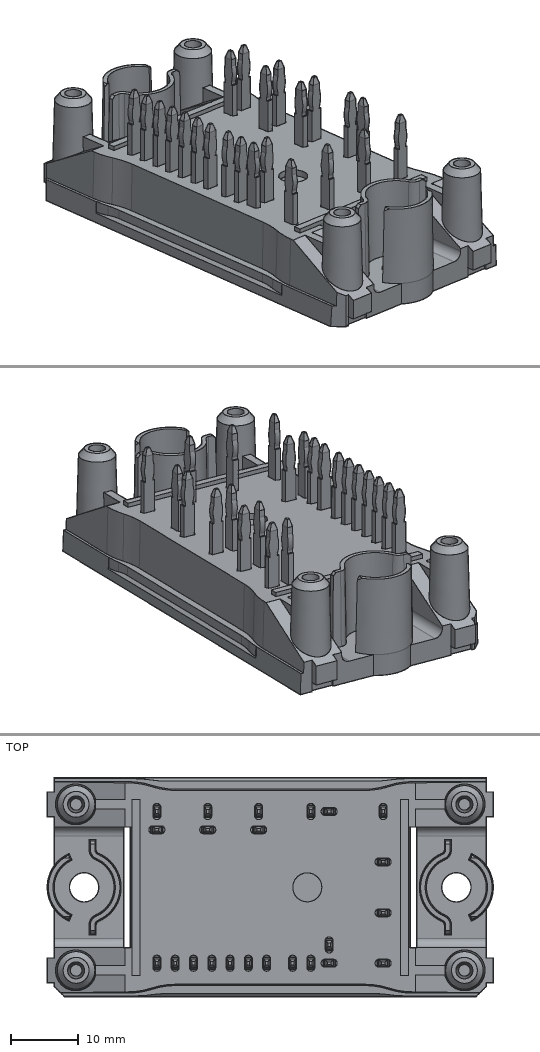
import cadquery as cq
import math

PAD_HEIGHT = 0.2
FLOOR_Z = 3.55
BODY_TOP = 11.1
RIDGE_TOP = 11.75
TOWER_SHOULDER_Z = 16.0
TOWER_TOP = 17.0
GUARD_TOP = 15.65
PIN_TOP = 21.25

LENGTH = 66.0
HALF_LENGTH = LENGTH / 2
BASE_HALF_LENGTH = 31.95
BASE_HALF_WIDTH = 16.25
BASE_TOP_HALF_WIDTH = 16.1
CORNER_CHAMFER = 1.6
PAD_LENGTH = 38.0
PAD_WIDTH = 27.05

RECESS_HALF_WIDTH = 15.7
RECESS_END_HALF_WIDTH = 16.05
RECESS_OUTER_X = 19.8
RECESS_INNER_X = 15.3
RECESS_EDGE_Z = 1.65
RECESS_FLOOR_Z = 2.2

WING_HALF_WIDTH = 15.65
WAIST_HALF_WIDTH = 14.5
WAIST_OUTER_X = 21.0
WAIST_INNER_X = 14.0
HOUSING_DRAFT = 1.5
SLOPE_TOP_X = 21.5
SLOPE_END_Z = 5.3

BAY_HALF_WIDTH = 8.9
BAY_FILLET = 1.3
SLOT_INNER_X = 20.7
SLOT_OUTER_X = 21.65
MOUNT_X = 27.5
MOUNT_HOLE_DIAMETER = 4.3

GUARD_OUTER_RADIUS = HALF_LENGTH - MOUNT_X
GUARD_WALL = 1.05
GUARD_INNER_RADIUS = GUARD_OUTER_RADIUS - GUARD_WALL
GUARD_MID_RADIUS = GUARD_OUTER_RADIUS - GUARD_WALL / 2
GUARD_HEIGHT = GUARD_TOP - FLOOR_Z
GUARD_DRAFT = 0.9
GUARD_END_ANGLE = 114
GUARD_BEND_ANGLE = 67
GUARD_TAIL_X = 1.25
GUARD_TAIL_Y = 7.05
GUARD_CORNER = 0.65

TOWER_X = 28.7
TOWER_Y = 12.3
TOWER_BOTTOM_RADIUS = 3.1
TOWER_RADIUS = 2.8
TOWER_TIP_RADIUS = 1.9
TOWER_HOLE_RADIUS = 1.25
TOWER_HOLE_END_RADIUS = 0.85
TOWER_HOLE_DEPTH = 7.9
RIB_WIDTH = 1.4
TAB_WIDTH = 3.7
TAB_BOTTOM_Z = 1.65
TAB_RELIEF_DEPTH = 0.3

RIDGE_INNER_X = 19.3
RIDGE_OUTER_X = 20.45
RIDGE_LENGTH = 26.0
DIMPLE_X = 5.5
DIMPLE_DIAMETER = 4.3
DIMPLE_DEPTH = 1.0

PIN_HALF_WIDTH = 0.9
PIN_NECK_HALF_WIDTH = 0.65
PIN_BULGE_HALF_WIDTH = 0.85
PIN_TIP_HALF_WIDTH = 0.25
PIN_HALF_THICKNESS = 0.45
PIN_TIP_HALF_THICKNESS = 0.2
PIN_SHOULDER_Z = 16.0
PIN_BULGE_START_Z = 16.45
PIN_BULGE_END_Z = 19.1
PIN_TIP_START_Z = 20.1
PIN_ROOT = 0.65
PIN_POCKET_LENGTH = 2.4
PIN_POCKET_WIDTH = 1.2
PIN_POCKET_DEPTH = 0.3

PIN_PITCH = 2.7
PIN_WIDE_PITCH = 7.5
PIN_FIRST_X = -16.75
PIN_LAST_X = 16.7
PIN_ROW_Y = 11.2
PIN_INNER_Y = 8.5
PIN_SIDE_Y = 3.75
PIN_GROUP_X = 3.3
WIDE_COLUMN_COUNT = 3
GROUP_COLUMN_COUNT = 3
CLOSE_COLUMN_COUNT = 7

SIDES = (-1, 1)
ALL_CORNERS = [(sx, sy) for sx in SIDES for sy in SIDES]


def block(x_start, x_end, y_start, y_end, z_start, z_end):
    size = (x_end - x_start, y_end - y_start, z_end - z_start)
    return cq.Workplane("XY").box(*size, centered=False).translate((x_start, y_start, z_start))


def both_ends(feature):
    """A feature at the +X end together with its mirror image at the -X end."""
    return feature.union(feature.mirror("YZ"))


def waisted_outline(end_x, outer_x, inner_x, wing_y, waist_y):
    """Closed outline whose long sides step inwards through S-curves of two equal arcs."""
    mid_x = (outer_x + inner_x) / 2
    mid_y = (wing_y + waist_y) / 2
    outline = cq.Workplane("XY").moveTo(-end_x, wing_y).lineTo(-outer_x, wing_y)
    outline = outline.tangentArcPoint((-mid_x, mid_y), relative=False)
    outline = outline.tangentArcPoint((-inner_x, waist_y), relative=False)
    outline = outline.lineTo(inner_x, waist_y)
    outline = outline.tangentArcPoint((mid_x, mid_y), relative=False)
    outline = outline.tangentArcPoint((outer_x, wing_y), relative=False)
    outline = outline.lineTo(end_x, wing_y).lineTo(end_x, -wing_y).lineTo(outer_x, -wing_y)
    outline = outline.tangentArcPoint((mid_x, -mid_y), relative=False)
    outline = outline.tangentArcPoint((inner_x, -waist_y), relative=False)
    outline = outline.lineTo(-inner_x, -waist_y)
    outline = outline.tangentArcPoint((-mid_x, -mid_y), relative=False)
    outline = outline.tangentArcPoint((-outer_x, -wing_y), relative=False)
    return outline.lineTo(-end_x, -wing_y).close()


def slope_z(x):
    """Height of the sloping wing surface at a distance x from the middle."""
    fall = (BODY_TOP - SLOPE_END_Z) / (BASE_HALF_LENGTH - SLOPE_TOP_X)
    return BODY_TOP - fall * (x - SLOPE_TOP_X)


def slope_prism(end_x):
    """Prism across the part, flat on top and falling away along both wing slopes."""
    profile = [
        (-end_x, 0),
        (end_x, 0),
        (end_x, slope_z(end_x)),
        (SLOPE_TOP_X, BODY_TOP),
        (-SLOPE_TOP_X, BODY_TOP),
        (-end_x, slope_z(end_x)),
    ]
    return cq.Workplane("XZ").polyline(profile).close().extrude(BASE_HALF_WIDTH, both=True)


def base_frame():
    section = [
        (-BASE_HALF_WIDTH, PAD_HEIGHT),
        (BASE_HALF_WIDTH, PAD_HEIGHT),
        (BASE_TOP_HALF_WIDTH, FLOOR_Z),
        (-BASE_TOP_HALF_WIDTH, FLOOR_Z),
    ]
    frame = cq.Workplane("YZ").polyline(section).close().extrude(BASE_HALF_LENGTH, both=True)
    return frame.cut(side_recesses())


def side_recesses():
    """Long-side recesses with S-curved ends and a floor that falls outwards."""
    slope = (RECESS_FLOOR_Z - RECESS_EDGE_Z) / (BASE_HALF_WIDTH - RECESS_HALF_WIDTH)
    section = [
        (WAIST_HALF_WIDTH, RECESS_FLOOR_Z + slope * (RECESS_HALF_WIDTH - WAIST_HALF_WIDTH)),
        (BASE_HALF_WIDTH, RECESS_EDGE_Z),
        (BASE_HALF_WIDTH, FLOOR_Z),
        (WAIST_HALF_WIDTH, FLOOR_Z),
    ]
    band = cq.Workplane("YZ").polyline(section).close().extrude(RECESS_OUTER_X, both=True)
    band = band.union(band.mirror("XZ"))
    kept = waisted_outline(
        LENGTH, RECESS_OUTER_X, RECESS_INNER_X, RECESS_END_HALF_WIDTH, RECESS_HALF_WIDTH
    ).extrude(BODY_TOP)
    return band.cut(kept)


def housing():
    body = waisted_outline(LENGTH, WAIST_OUTER_X, WAIST_INNER_X, WING_HALF_WIDTH, WAIST_HALF_WIDTH)
    body = body.extrude(BODY_TOP - FLOOR_Z, taper=HOUSING_DRAFT).translate((0, 0, FLOOR_Z))
    return body.intersect(slope_prism(BASE_HALF_LENGTH))


def lengthwise_bars(half_length, width, bottom_z, top_z):
    """Two bars along X, one through each row of tower centres."""
    half = width / 2
    bars = cq.Workplane("XY")
    for side in SIDES:
        y = side * TOWER_Y
        bars = bars.add(block(-half_length, half_length, y - half, y + half, bottom_z, top_z))
    return bars.combine()


def end_tabs():
    bars = lengthwise_bars(HALF_LENGTH, TAB_WIDTH, TAB_BOTTOM_Z, BODY_TOP)
    return bars.intersect(slope_prism(HALF_LENGTH))


def tab_relief_cut():
    """Shallow reliefs in the end faces below the tabs."""
    kept_x = BASE_HALF_LENGTH - TAB_RELIEF_DEPTH
    core = block(-kept_x, kept_x, -BASE_HALF_WIDTH, BASE_HALF_WIDTH, 0, BODY_TOP)
    return lengthwise_bars(HALF_LENGTH, TAB_WIDTH, 0, TAB_BOTTOM_Z).cut(core)


def bay_cut():
    """Open bay with filleted side walls, plus the through slot with a drafted inner wall."""
    bay = block(SLOT_OUTER_X, LENGTH, -BAY_HALF_WIDTH, BAY_HALF_WIDTH, FLOOR_Z, PIN_TOP)
    bay = bay.edges("|X and <Z").fillet(BAY_FILLET)
    section = [
        (SLOT_INNER_X, 0),
        (SLOT_OUTER_X, 0),
        (SLOT_OUTER_X, BODY_TOP),
        (RIDGE_OUTER_X, BODY_TOP),
    ]
    slot = cq.Workplane("XZ").polyline(section).close().extrude(BAY_HALF_WIDTH, both=True)
    return both_ends(bay.union(slot))


def corner_chamfer_cut():
    """Material removed from the two corners on the -Y side."""
    corner = [
        (BASE_HALF_LENGTH, -BASE_HALF_WIDTH),
        (BASE_HALF_LENGTH - CORNER_CHAMFER, -BASE_HALF_WIDTH),
        (BASE_HALF_LENGTH, -BASE_HALF_WIDTH + CORNER_CHAMFER),
    ]
    return both_ends(cq.Workplane("XY").polyline(corner).close().extrude(BODY_TOP))


def mount_boss():
    boss = cq.Workplane("XY").center(MOUNT_X, 0).circle(GUARD_OUTER_RADIUS)
    return both_ends(boss.extrude(FLOOR_Z - PAD_HEIGHT).translate((0, 0, PAD_HEIGHT)))


def polar(radius, angle):
    return (radius * math.cos(math.radians(angle)), radius * math.sin(math.radians(angle)))


def outer_guard():
    """Plain arc of wall on the outer side of the -X mounting hole."""
    outer_x, outer_y = polar(GUARD_OUTER_RADIUS, GUARD_END_ANGLE)
    inner_x, inner_y = polar(GUARD_INNER_RADIUS, GUARD_END_ANGLE)
    wall = cq.Workplane("XY").moveTo(outer_x, outer_y)
    wall = wall.threePointArc((-GUARD_OUTER_RADIUS, 0), (outer_x, -outer_y))
    wall = wall.lineTo(inner_x, -inner_y)
    wall = wall.threePointArc((-GUARD_INNER_RADIUS, 0), (inner_x, inner_y)).close()
    wall = wall.extrude(GUARD_HEIGHT, taper=GUARD_DRAFT)
    return wall.intersect(guard_envelope(outer_y))


def inner_guard():
    """Wall on the inner side of the -X mounting hole, bending out into two straight tails."""
    cos_bend, sin_bend = polar(1, GUARD_BEND_ANGLE)
    bend_radius = (GUARD_MID_RADIUS * cos_bend - GUARD_TAIL_X) / (1 - cos_bend)
    bend_y = (GUARD_MID_RADIUS + bend_radius) * sin_bend
    near_x = GUARD_TAIL_X - GUARD_WALL / 2
    far_x = GUARD_TAIL_X + GUARD_WALL / 2
    inner_x, inner_y = polar(GUARD_INNER_RADIUS, GUARD_BEND_ANGLE)
    outer_x, outer_y = polar(GUARD_OUTER_RADIUS, GUARD_BEND_ANGLE)
    wall = cq.Workplane("XY").moveTo(near_x, GUARD_TAIL_Y).lineTo(near_x, bend_y)
    wall = wall.tangentArcPoint((inner_x, inner_y), relative=False)
    wall = wall.threePointArc((GUARD_INNER_RADIUS, 0), (inner_x, -inner_y))
    wall = wall.tangentArcPoint((near_x, -bend_y), relative=False)
    wall = wall.lineTo(near_x, -GUARD_TAIL_Y).lineTo(far_x, -GUARD_TAIL_Y).lineTo(far_x, -bend_y)
    wall = wall.tangentArcPoint((outer_x, -outer_y), relative=False)
    wall = wall.threePointArc((GUARD_OUTER_RADIUS, 0), (outer_x, outer_y))
    wall = wall.tangentArcPoint((far_x, bend_y), relative=False)
    wall = wall.lineTo(far_x, GUARD_TAIL_Y).close()
    wall = wall.extrude(GUARD_HEIGHT, taper=GUARD_DRAFT)
    return wall.intersect(guard_envelope(GUARD_TAIL_Y))


def guard_envelope(half_width):
    """Block of the given half width whose top corners trim the free ends of a guard wall."""
    envelope = block(-LENGTH, LENGTH, -half_width, half_width, 0, GUARD_HEIGHT)
    return envelope.edges("|X and >Z").chamfer(GUARD_CORNER)


def screw_guards():
    guard = outer_guard().union(inner_guard())
    return both_ends(guard.translate((-MOUNT_X, 0, FLOOR_Z)))


def turned(half_profile, x, y):
    """Solid of revolution about a vertical axis at (x, y) from (radius, height) points."""
    solid = cq.Workplane("XZ").polyline(half_profile).close().revolve(360, (0, 0, 0), (0, 1, 0))
    return solid.translate((x, y, 0))


def tower(x, y):
    """Tapered tower with a conical tip, reaching down into the wing."""
    half_profile = [
        (0, FLOOR_Z),
        (TOWER_BOTTOM_RADIUS, FLOOR_Z),
        (TOWER_RADIUS, TOWER_SHOULDER_Z),
        (TOWER_TIP_RADIUS, TOWER_TOP),
        (0, TOWER_TOP),
    ]
    return turned(half_profile, x, y)


def tower_hole(x, y):
    hole_end_z = TOWER_TOP - TOWER_HOLE_DEPTH
    half_profile = [
        (0, hole_end_z),
        (TOWER_HOLE_END_RADIUS, hole_end_z),
        (TOWER_HOLE_RADIUS, TOWER_TOP),
        (0, TOWER_TOP),
    ]
    return turned(half_profile, x, y)


def tower_ribs():
    """Level ribs tying the towers to the housing."""
    return lengthwise_bars(TOWER_X, RIB_WIDTH, FLOOR_Z, BODY_TOP)


def ridges():
    half = RIDGE_LENGTH / 2
    return both_ends(block(RIDGE_INNER_X, RIDGE_OUTER_X, -half, half, FLOOR_Z, RIDGE_TOP))


def pin():
    """Press-fit pin, wide along Y, standing on the housing top at the origin."""
    root_z = BODY_TOP - PIN_ROOT
    bulge_mid_z = (PIN_BULGE_START_Z + PIN_BULGE_END_Z) / 2
    broad = cq.Workplane("YZ").moveTo(-PIN_HALF_WIDTH, root_z).lineTo(PIN_HALF_WIDTH, root_z)
    broad = broad.lineTo(PIN_HALF_WIDTH, PIN_SHOULDER_Z).lineTo(PIN_NECK_HALF_WIDTH, PIN_SHOULDER_Z)
    broad = broad.lineTo(PIN_NECK_HALF_WIDTH, PIN_BULGE_START_Z)
    broad = broad.threePointArc(
        (PIN_BULGE_HALF_WIDTH, bulge_mid_z), (PIN_NECK_HALF_WIDTH, PIN_BULGE_END_Z)
    )
    broad = broad.lineTo(PIN_NECK_HALF_WIDTH, PIN_TIP_START_Z).lineTo(PIN_TIP_HALF_WIDTH, PIN_TOP)
    broad = broad.lineTo(-PIN_TIP_HALF_WIDTH, PIN_TOP).lineTo(-PIN_NECK_HALF_WIDTH, PIN_TIP_START_Z)
    broad = broad.lineTo(-PIN_NECK_HALF_WIDTH, PIN_BULGE_END_Z)
    broad = broad.threePointArc(
        (-PIN_BULGE_HALF_WIDTH, bulge_mid_z), (-PIN_NECK_HALF_WIDTH, PIN_BULGE_START_Z)
    )
    broad = broad.lineTo(-PIN_NECK_HALF_WIDTH, PIN_SHOULDER_Z)
    broad = broad.lineTo(-PIN_HALF_WIDTH, PIN_SHOULDER_Z).close()
    broad = broad.extrude(PIN_HALF_THICKNESS, both=True)
    edge = [
        (-PIN_HALF_THICKNESS, root_z),
        (PIN_HALF_THICKNESS, root_z),
        (PIN_HALF_THICKNESS, PIN_TIP_START_Z),
        (PIN_TIP_HALF_THICKNESS, PIN_TOP),
        (-PIN_TIP_HALF_THICKNESS, PIN_TOP),
        (-PIN_HALF_THICKNESS, PIN_TIP_START_Z),
    ]
    narrow = cq.Workplane("XZ").polyline(edge).close().extrude(PIN_HALF_WIDTH, both=True)
    return broad.intersect(narrow)


def pin_pocket():
    """Shallow round-ended pocket surrounding the foot of a pin."""
    pocket = cq.Workplane("XY").slot2D(PIN_POCKET_LENGTH, PIN_POCKET_WIDTH, 90)
    return pocket.extrude(PIN_POCKET_DEPTH).translate((0, 0, BODY_TOP - PIN_POCKET_DEPTH))


wide_columns = [PIN_FIRST_X + PIN_WIDE_PITCH * i for i in range(WIDE_COLUMN_COUNT)]
close_columns = [PIN_FIRST_X + PIN_PITCH * i for i in range(CLOSE_COLUMN_COUNT)]
group_columns = [PIN_GROUP_X + PIN_PITCH * i for i in range(GROUP_COLUMN_COUNT)]

pins_along_y = [(x, PIN_ROW_Y) for x in wide_columns + [group_columns[1], PIN_LAST_X]]
pins_along_y += [(x, -PIN_ROW_Y) for x in close_columns + group_columns[:2]]
pins_along_y += [(group_columns[2], -PIN_INNER_Y)]

pins_along_x = [(x, PIN_INNER_Y) for x in wide_columns]
pins_along_x += [(group_columns[2], side * PIN_ROW_Y) for side in SIDES]
pins_along_x += [(PIN_LAST_X, y) for y in (PIN_SIDE_Y, -PIN_SIDE_Y, -PIN_ROW_Y)]


def at_pin_places(shape):
    """Copies of a pin-sized shape at every pin place."""
    quarter_turned = shape.rotate((0, 0, 0), (0, 0, 1), 90)
    copies = cq.Workplane("XY")
    for x, y in pins_along_y:
        copies = copies.add(shape.translate((x, y, 0)))
    for x, y in pins_along_x:
        copies = copies.add(quarter_turned.translate((x, y, 0)))
    return copies.combine()


pad = cq.Workplane("XY").rect(PAD_LENGTH, PAD_WIDTH).extrude(FLOOR_Z)
mount_hole = cq.Workplane("XY").center(MOUNT_X, 0).circle(MOUNT_HOLE_DIAMETER / 2).extrude(FLOOR_Z)
dimple = cq.Workplane("XY").center(DIMPLE_X, 0).circle(DIMPLE_DIAMETER / 2).extrude(DIMPLE_DEPTH)

result = base_frame().union(housing()).union(end_tabs()).union(pad)
result = result.cut(tab_relief_cut()).cut(corner_chamfer_cut()).cut(bay_cut())
result = result.union(mount_boss()).cut(both_ends(mount_hole)).union(screw_guards())
result = result.union(tower_ribs()).union(ridges())
for side_x, side_y in ALL_CORNERS:
    result = result.union(tower(side_x * TOWER_X, side_y * TOWER_Y))
for side_x, side_y in ALL_CORNERS:
    result = result.cut(tower_hole(side_x * TOWER_X, side_y * TOWER_Y))
result = result.cut(dimple.translate((0, 0, BODY_TOP - DIMPLE_DEPTH)))
result = result.cut(at_pin_places(pin_pocket())).union(at_pin_places(pin()))